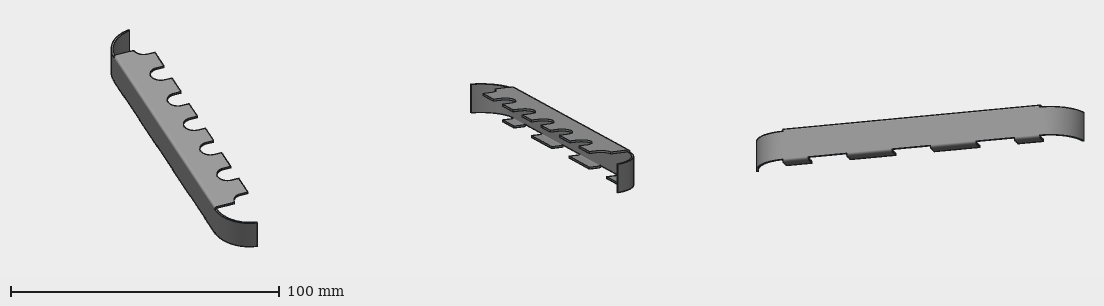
import cadquery as cq
import math

overall_length = 127.7
body_length = 100.2
overall_height = 13.0
top_flange_depth = 15.0
bottom_flange_depth = 5.0
sheet = 0.8
bend_radius = 1.0

wing_radius = 13.9

notch_width = 7.9
notch_depth = 6.9
notch_pitch = 17.0
notches_per_side = 3

gap_width = 15.0
gap_pitch = 32.7

half_body = body_length / 2
wall_height = overall_height - 2 * bend_radius
wing_reach = (overall_length - body_length) / 2
wing_angle = math.asin(wing_reach / wing_radius)


def block(x_min, x_max, y_min, y_max, z_min, z_max):
    """Box given by its limits along each axis."""
    size = (x_max - x_min, y_max - y_min, z_max - z_min)
    return cq.Workplane("XY").box(*size, centered=False).translate((x_min, y_min, z_min))


def folded_channel():
    """Front wall with a deep top flange and a shallow bottom flange, joined by round folds."""
    outer = block(-half_body, half_body, 0, top_flange_depth, 0, overall_height)
    outer = outer.edges("|X and <Y").fillet(bend_radius)
    hollow = block(-half_body, half_body, sheet, top_flange_depth, sheet, overall_height - sheet)
    hollow = hollow.edges("|X and <Y").fillet(bend_radius - sheet)
    behind_tabs = block(-half_body, half_body, bottom_flange_depth, top_flange_depth, 0, sheet)
    return outer.cut(hollow).cut(behind_tabs)


def notch(x):
    """Cutter for one round-bottomed notch through the top flange."""
    radius = notch_width / 2
    center_y = top_flange_depth - notch_depth + radius
    z_min = overall_height - bend_radius
    slot = block(x - radius, x + radius, center_y, top_flange_depth, z_min, overall_height)
    round_end = cq.Workplane("XY", origin=(x, center_y, z_min)).circle(radius).extrude(bend_radius)
    return slot.union(round_end)


def wing():
    """Right-hand wing: a strip curling back from the end of the front wall."""
    def arc_point(radius, angle):
        return half_body + radius * math.sin(angle), wing_radius - radius * math.cos(angle)

    inner_radius = wing_radius - sheet
    inner_angle = math.acos(wing_radius * math.cos(wing_angle) / inner_radius)
    return (
        cq.Workplane("XY", origin=(0, 0, bend_radius))
        .moveTo(*arc_point(wing_radius, 0))
        .threePointArc(arc_point(wing_radius, wing_angle / 2), arc_point(wing_radius, wing_angle))
        .lineTo(*arc_point(inner_radius, inner_angle))
        .threePointArc(arc_point(inner_radius, inner_angle / 2), arc_point(inner_radius, 0))
        .close()
        .extrude(wall_height)
    )


result = folded_channel()

result = result.cut(notch(0))
for i in range(notches_per_side):
    notch_x = half_body - i * notch_pitch
    result = result.cut(notch(notch_x)).cut(notch(-notch_x))

for gap_x in (-gap_pitch, 0, gap_pitch):
    gap = block(gap_x - gap_width / 2, gap_x + gap_width / 2, 0, bottom_flange_depth, 0, bend_radius)
    result = result.cut(gap)

right_wing = wing()
result = result.union(right_wing).union(right_wing.mirror("YZ"))